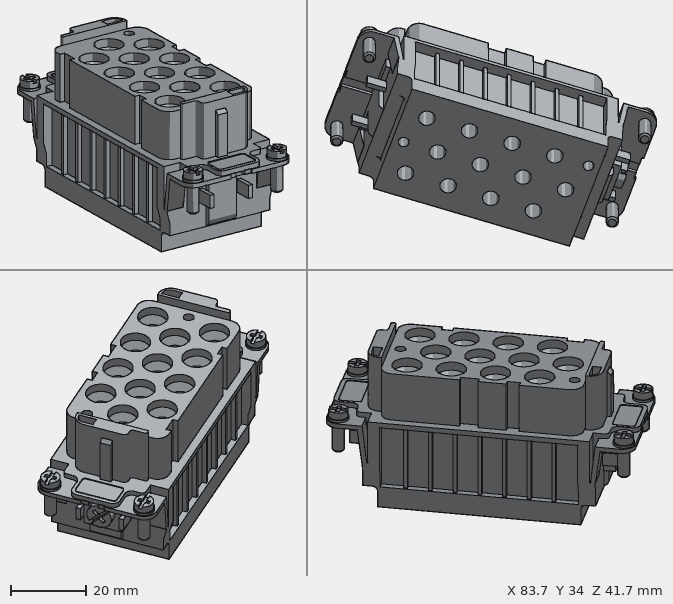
import cadquery as cq

overcut = 0.8

total_height = 41.7
flange_top = 25.6
plate_top = 24.2
plate_bottom = 22.9
block_top = 39.4
ledge_z = 6.0

body_half_x = 31.55
body_half_y = 17.0
base_half_x = 27.5
base_half_y = 16.1
taper_top = 13.0
taper_bottom = 9.5
gusset_radius = 1.4
gusset_inner_y = 9.8
corner_cut_x = 30.05
corner_cut_y = 11.8
leg_foot_z = 13.3

pocket_half_x = 26.9
pocket_floor_y = 14.2
rib_front_y = 15.5
rib_count = 7
rib_pitch = 6.7
rib_width = 1.0

neck_x = 34.2
tongue_end_x = 41.5
tongue_half_y = 6.9
tongue_fillet = 2.0
neck_fillet = 1.25
label_length = 6.2
label_width = 11.9
label_corner = 0.8
label_depth = 0.25
label_x = 37.1

plate_end_x = 41.85
plate_corner = 3.7
leg_thickness = 1.3
leg_slant = 1.25
plate_notch_half_y = 3.35
plate_notch_depth = 0.5
plate_slot_half_y = 1.4
plate_hook_x = 32.9
plate_hook_half_y = 10.2
plate_hook_bottom = 18.9

screw_x = 38.7
screw_y = 13.5
screw_head_d = 5.2
screw_head_top = 26.95
washer_d = 5.7
washer_top = 24.9
shank_d = 3.3
shank_bottom = 14.6
shank_chamfer = 0.5
slot_width = 1.1
slot_depth = 0.75
cross_arm_length = 3.2

block_half_x = 27.4
block_half_y = 14.65
block_corner = 3.4
notch_depth = 1.5
upper_notches = [(-10.55, -7.0), (0.6, 5.6)]
lower_notches = [(-22.6, -18.0), (12.9, 15.9)]

contact_pitch_x = 12.0
contact_row_y = 8.9
contacts_per_row = 4
outer_row_start_x = -15.0
middle_row_start_x = -21.0
cavity_d = 8.0
contact_bore_d = 4.35
cavity_depth = 2.4
cone_depth = 1.8
pilot_d = 2.85
pilot_x = 24.4

tower_outer_x = 31.8
tower_inner_x = 27.6
tower_half_y = 10.3
tower_step_y = 5.7
tower_leg_x = 29.0
tower_corner = 3.5
tower_step_fillet = 1.25
tower_inside_fillet = 0.75
tower_leg_fillet = 0.5
tower_pocket_outer_x = 30.9
tower_pocket_inner_x = 28.45
tower_pocket_y = (4.5, 9.45)
tower_pocket_corner = 2.1
tower_pocket_depth = 4.2
key_x = 32.9
key_width = 3.1
key_top = 38.8
key_chamfer = 1.0

end_rib_half_y = 4.4
end_rib_x = 32.9
end_rib_bottom = 6.2
end_rib_fillet = 1.9
tab_x = 36.9
tab_y = (5.5, 6.8)
tab_z = (13.6, 17.3)
terminal_half_y = 5.4
terminal_x = 34.9
terminal_z = (11.3, 22.1)
earth_screw_x = 37.4
earth_screw_d = 7.0
earth_slot_depth = 1.5
earth_slot_width = 1.0
earth_arm_length = 4.2
earth_slot_angle = -45


def box(x_range, y_range, z_range):
    """Box between the given limits along each axis, in any order."""
    sizes = [abs(b - a) for a, b in (x_range, y_range, z_range)]
    corner = [min(limits) for limits in (x_range, y_range, z_range)]
    return cq.Workplane("XY").box(*sizes, centered=False).translate(tuple(corner))


def cylinder(x, y, diameter, z_low, z_high):
    return cq.Workplane("XY", (x, y, z_low)).circle(diameter / 2).extrude(z_high - z_low)


def both_ends(shape):
    """The -X end shape joined with its mirror image at the +X end."""
    return shape.union(shape.mirror("YZ"))


def make_body():
    side = [
        (base_half_y, ledge_z),
        (base_half_y, taper_bottom),
        (body_half_y, taper_top),
        (body_half_y, flange_top),
    ]
    other_side = [(-y, z) for y, z in reversed(side)]
    body = cq.Workplane("YZ", (-body_half_x, 0, 0)).polyline(side + other_side).close()
    body = body.extrude(2 * body_half_x)
    base = box((-base_half_x, base_half_x), (-base_half_y, base_half_y), (0, ledge_z))
    body = body.union(base)

    for sx in (-1, 1):
        for sy in (-1, 1):
            body = body.cut(box(
                (sx * corner_cut_x, sx * (body_half_x + overcut)),
                (sy * corner_cut_y, sy * (body_half_y + overcut)),
                (leg_foot_z, flange_top + overcut),
            ))

    for sy in (-1, 1):
        body = body.cut(box(
            (-pocket_half_x, pocket_half_x),
            (sy * pocket_floor_y, sy * (body_half_y + overcut)),
            (ledge_z, plate_top),
        ))
        for i in range(rib_count):
            rib_x = (i - (rib_count - 1) / 2) * rib_pitch
            body = body.union(box(
                (rib_x - rib_width / 2, rib_x + rib_width / 2),
                (sy * (pocket_floor_y - overcut), sy * rib_front_y),
                (ledge_z, plate_top),
            ))
    return body


def make_gussets():
    """Concave corner fillets under the body ends, against the base."""
    gusset = (
        cq.Workplane("XZ", (0, base_half_y, 0))
        .moveTo(-base_half_x, ledge_z)
        .lineTo(-base_half_x - gusset_radius, ledge_z)
        .radiusArc((-base_half_x, ledge_z - gusset_radius), gusset_radius)
        .close()
        .extrude(base_half_y - gusset_inner_y)
    )
    return both_ends(gusset.union(gusset.mirror("XZ")))


def make_tongue():
    """Flange extension on the -X end, lying on the end plate."""
    thickness = flange_top - plate_top
    neck = box((-neck_x, -corner_cut_x), (-corner_cut_y, corner_cut_y), (plate_top, flange_top))
    neck = neck.edges("|Z and <X").fillet(neck_fillet)
    tip = box((-tongue_end_x, -corner_cut_x), (-tongue_half_y, tongue_half_y), (plate_top, flange_top))
    tip = tip.edges("|Z and <X").fillet(tongue_fillet)
    tongue = neck.union(tip)
    for sy in (-1, 1):
        inner_corner = (
            cq.Workplane("XY", (0, 0, plate_top))
            .moveTo(-neck_x, sy * tongue_half_y)
            .lineTo(-neck_x - tongue_fillet, sy * tongue_half_y)
            .radiusArc((-neck_x, sy * (tongue_half_y + tongue_fillet)), -sy * tongue_fillet)
            .close()
            .extrude(thickness)
        )
        tongue = tongue.union(inner_corner)
    label = (
        cq.Workplane("XY", (-label_x, 0, flange_top - label_depth))
        .rect(label_length, label_width)
        .extrude(label_depth)
        .edges("|Z")
        .fillet(label_corner)
    )
    return tongue.cut(label)


def make_plate():
    """Fixing plate on the -X end, with a slanted leg at each corner."""
    plate = box((-plate_end_x, -body_half_x), (-body_half_y, body_half_y), (plate_bottom, plate_top))
    plate = plate.edges("|Z and <X").fillet(plate_corner)
    plate = plate.cut(box(
        (-plate_end_x, -plate_end_x + plate_notch_depth),
        (-plate_notch_half_y, plate_notch_half_y),
        (plate_bottom, plate_top),
    ))
    plate = plate.cut(box(
        (-plate_end_x, -plate_hook_x),
        (-plate_slot_half_y, plate_slot_half_y),
        (plate_bottom, plate_top),
    ))
    foot_x = -body_half_x + leg_slant
    leg = (
        cq.Workplane("XZ", (0, body_half_y, 0))
        .moveTo(-body_half_x, plate_top)
        .lineTo(foot_x, leg_foot_z)
        .lineTo(foot_x - leg_thickness, leg_foot_z)
        .lineTo(-body_half_x - leg_thickness, plate_bottom)
        .lineTo(-body_half_x - leg_thickness, plate_top)
        .close()
        .extrude(body_half_y - corner_cut_y)
    )
    hook = box(
        (-plate_hook_x, -body_half_x),
        (-plate_hook_half_y, plate_hook_half_y),
        (plate_hook_bottom, plate_bottom),
    )
    return plate.union(leg).union(leg.mirror("XZ")).union(hook)


def make_plate_screw(x, y):
    shank = cylinder(x, y, shank_d, shank_bottom, plate_top).faces("<Z").chamfer(shank_chamfer)
    washer = cylinder(x, y, washer_d, plate_top, washer_top)
    head = cylinder(x, y, screw_head_d, washer_top, screw_head_top)
    slot_plane = cq.Workplane("XY", (x, y, screw_head_top - slot_depth))
    head = head.cut(slot_plane.rect(washer_d, slot_width).extrude(slot_depth))
    head = head.cut(slot_plane.rect(slot_width, cross_arm_length).extrude(slot_depth))
    return shank.union(washer).union(head)


def make_block():
    block = box((-block_half_x, block_half_x), (-block_half_y, block_half_y), (flange_top, block_top))
    block = block.edges("|Z").fillet(block_corner)
    for sy, notches in ((1, upper_notches), (-1, lower_notches)):
        for notch in notches:
            y_range = (sy * (block_half_y - notch_depth), sy * block_half_y)
            block = block.cut(box(notch, y_range, (flange_top, block_top)))
    return block


def make_tower():
    """Guide tower on the -X end, with an open pocket and a raised key."""
    z_range = (flange_top, total_height)
    head = box((-tower_outer_x, -tower_inner_x), (-tower_step_y, tower_half_y), z_range)
    head = head.edges("|Z and <X and >Y").fillet(tower_corner)
    head = head.edges("|Z and <X and <Y").fillet(tower_step_fillet)
    leg = box((-tower_leg_x, -tower_inner_x), (-tower_half_y, 0), z_range)
    leg = leg.edges("|Z and <Y").fillet(tower_leg_fillet)
    tower = head.union(leg)
    inside_corner = cq.selectors.NearestToPointSelector(
        (-tower_leg_x, -tower_step_y, (flange_top + total_height) / 2)
    )
    tower = tower.edges(inside_corner).fillet(tower_inside_fillet)
    pocket = box(
        (-tower_pocket_outer_x, -tower_pocket_inner_x),
        tower_pocket_y,
        (total_height - tower_pocket_depth, total_height),
    )
    pocket = pocket.edges("|Z and <X and >Y").fillet(tower_pocket_corner)
    key = box((-key_x, -tower_inner_x), (-key_width / 2, key_width / 2), (flange_top, key_top))
    key = key.edges("<X and >Z").chamfer(key_chamfer)
    return tower.union(key).cut(pocket)


def make_contact_cavity(x, y):
    """Revolved void: wide mouth, cone, then a through bore."""
    cone_top = block_top - cavity_depth
    cone_bottom = cone_top - cone_depth
    return (
        cq.Workplane("XZ")
        .moveTo(0, 0)
        .lineTo(contact_bore_d / 2, 0)
        .lineTo(contact_bore_d / 2, cone_bottom)
        .lineTo(cavity_d / 2, cone_top)
        .lineTo(cavity_d / 2, block_top)
        .lineTo(0, block_top)
        .close()
        .revolve(360, (0, 0, 0), (0, 1, 0))
        .translate((x, y, 0))
    )


def make_end_fittings():
    """Rib and pair of tabs on the -X end wall."""
    fittings = box(
        (-end_rib_x, -base_half_x),
        (-end_rib_half_y, end_rib_half_y),
        (end_rib_bottom, plate_bottom),
    )
    fittings = fittings.edges("<X and <Z").fillet(end_rib_fillet)
    tab = box((-tab_x, -body_half_x), tab_y, tab_z)
    return fittings.union(tab).union(tab.mirror("XZ"))


def make_earth_terminal():
    """Square terminal on the -X wall with a diagonal cross-slotted screw."""
    terminal = box(
        (-terminal_x, -body_half_x),
        (-terminal_half_y, terminal_half_y),
        terminal_z,
    )
    center_z = sum(terminal_z) / 2
    screw = (
        cq.Workplane("YZ", (-earth_screw_x, 0, center_z))
        .circle(earth_screw_d / 2)
        .extrude(earth_screw_x - terminal_x)
    )
    slot_plane = cq.Workplane("YZ", (-earth_screw_x, 0, center_z))
    slot_plane = slot_plane.transformed(rotate=(0, 0, earth_slot_angle))
    screw = screw.cut(slot_plane.rect(2 * earth_screw_d, earth_slot_width).extrude(earth_slot_depth))
    screw = screw.cut(slot_plane.rect(earth_slot_width, earth_arm_length).extrude(earth_slot_depth))
    return terminal.union(screw)


result = make_body().union(make_gussets()).union(make_block())
for end_part in (make_tongue(), make_plate(), make_tower(), make_end_fittings()):
    result = result.union(both_ends(end_part))
result = result.union(make_earth_terminal())

for sx in (-1, 1):
    for sy in (-1, 1):
        result = result.union(make_plate_screw(sx * screw_x, sy * screw_y))

rows = [
    (outer_row_start_x, contact_row_y),
    (middle_row_start_x, 0),
    (outer_row_start_x, -contact_row_y),
]
for row_start_x, row_y in rows:
    for i in range(contacts_per_row):
        result = result.cut(make_contact_cavity(row_start_x + i * contact_pitch_x, row_y))

for x, y in ((-pilot_x, contact_row_y), (pilot_x, 0)):
    result = result.cut(cylinder(x, y, pilot_d, 0, block_top))